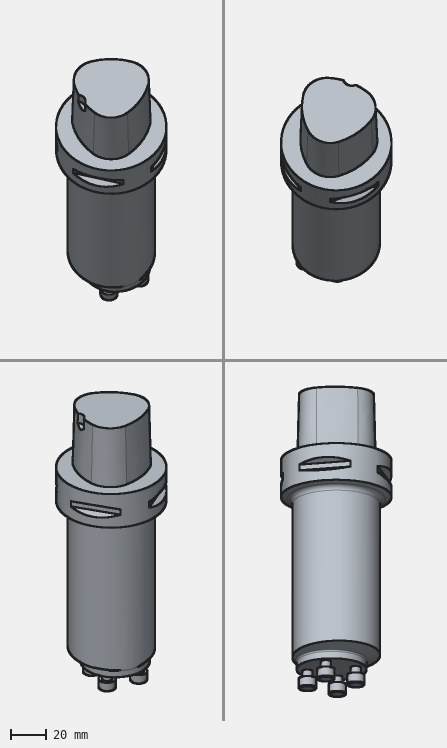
import cadquery as cq
import math

TOTAL_LENGTH = 172.53

SHANK_LENGTH = 38.0
LOBE_COUNT = 3
TAPER_PER_SIDE = 1 / 40
FLANK_DISTANCE = 20.4
LOBE_DISTANCE = 23.5
FLANK_RADIUS = 39.0

NOTCH_RADIUS = 5.0
NOTCH_STRAIGHT = 6.3
NOTCH_DEPTH = 1.95
NOTCH_TIP_ANGLE = 45.0

FLANGE_RADIUS = 63.0 / 2
FLANGE_HEIGHT = 22.0
FLANGE_CONE_HEIGHT = 1.1
NECK_FILLET = 3.0

GROOVE_COUNT = 4
GROOVE_FLOOR_DISTANCE = 27.75
GROOVE_FLOOR_WIDTH = 3.4
GROOVE_WALL_ANGLE = 30.0
GROOVE_Z = -12.0

BODY_RADIUS = 50.0 / 2
DISC_RADIUS = 40.0 / 2
DISC_HEIGHT = 4.9
NOSE_CONE_HEIGHT = 2.8
NOSE_FILLET = 1.0
SCREW_SPACING = 20.0
SCREW_SHANK_RADIUS = 6.0 / 2
SCREW_SHANK_LENGTH = 4.5
SCREW_HEAD_RADIUS = 10.0 / 2
SCREW_HEAD_HEIGHT = 6.0
SCREW_HEAD_CHAMFER = 0.6

BOTTOM_Z = SHANK_LENGTH - TOTAL_LENGTH
SCREW_HEAD_TOP_Z = BOTTOM_Z + SCREW_HEAD_HEIGHT
DISC_BOTTOM_Z = SCREW_HEAD_TOP_Z + SCREW_SHANK_LENGTH
DISC_TOP_Z = DISC_BOTTOM_Z + DISC_HEIGHT
DISC_X = BODY_RADIUS - DISC_RADIUS


def polar(radius, degrees):
    angle = math.radians(degrees)
    return (radius * math.cos(angle), radius * math.sin(angle))


def tangent_lobe_radius():
    """Radius of the lobe arcs that meet the flank arcs tangentially.

    The two arc centres and the shank axis form a triangle with 120 degrees at the axis,
    and tangency makes the side between the centres FLANK_RADIUS - lobe radius long.
    """
    flank_offset = FLANK_RADIUS - FLANK_DISTANCE
    numerator = FLANK_RADIUS**2 - flank_offset**2 - LOBE_DISTANCE**2 - flank_offset * LOBE_DISTANCE
    return numerator / (2 * FLANK_RADIUS - 2 * LOBE_DISTANCE - flank_offset)


def lobed_wire(inset, z):
    """Alternating flank arcs and tangent lobe arcs, offset inward by inset."""
    pitch = 360 / LOBE_COUNT
    first_flank_angle = -90

    flank_offset = FLANK_RADIUS - FLANK_DISTANCE
    lobe_offset = LOBE_DISTANCE - tangent_lobe_radius()
    lobe_center_x, lobe_center_y = polar(lobe_offset, first_flank_angle + pitch / 2)
    half_angle = math.atan2(lobe_center_x, flank_offset - lobe_center_y)
    joint_x = (FLANK_RADIUS - inset) * math.sin(half_angle)
    joint_y = flank_offset - (FLANK_RADIUS - inset) * math.cos(half_angle)
    joint_distance = math.hypot(joint_x, joint_y)
    joint_angle = math.degrees(math.atan2(joint_x, -joint_y))

    start = polar(joint_distance, first_flank_angle - joint_angle)
    outline = cq.Workplane("XY", origin=(0, 0, z)).moveTo(*start)
    for index in range(LOBE_COUNT):
        flank_angle = first_flank_angle + index * pitch
        flank_middle = polar(FLANK_DISTANCE - inset, flank_angle)
        flank_end = polar(joint_distance, flank_angle + joint_angle)
        lobe_tip = polar(LOBE_DISTANCE - inset, flank_angle + pitch / 2)
        lobe_end = polar(joint_distance, flank_angle + pitch - joint_angle)
        outline = outline.threePointArc(flank_middle, flank_end).threePointArc(lobe_tip, lobe_end)
    return outline.close().val()


def make_shank():
    base = lobed_wire(0, 0)
    end = lobed_wire(SHANK_LENGTH * TAPER_PER_SIDE, SHANK_LENGTH)
    shank = cq.Workplane(cq.Solid.makeLoft([base, end], True))
    return shank.cut(make_notch())


def make_notch():
    """Round-backed notch with a conical floor, open at the shank end."""
    end_flank = FLANK_DISTANCE - SHANK_LENGTH * TAPER_PER_SIDE
    axis_y = -(end_flank - NOTCH_DEPTH + NOTCH_RADIUS)
    tip_height = NOTCH_RADIUS * math.tan(math.radians(NOTCH_TIP_ANGLE))
    shoulder_z = SHANK_LENGTH - NOTCH_STRAIGHT
    return (
        cq.Workplane("XZ", origin=(0, axis_y, 0))
        .moveTo(0, SHANK_LENGTH)
        .lineTo(NOTCH_RADIUS, SHANK_LENGTH)
        .lineTo(NOTCH_RADIUS, shoulder_z)
        .lineTo(0, shoulder_z - tip_height)
        .close()
        .revolve(360, (0, 0, 0), (0, 1, 0))
    )


def make_flange_and_body():
    cone_bottom_z = -FLANGE_HEIGHT - FLANGE_CONE_HEIGHT
    fillet_bottom_z = cone_bottom_z - NECK_FILLET
    fillet_center_x = BODY_RADIUS + NECK_FILLET
    fillet_middle = NECK_FILLET * math.sqrt(0.5)
    turned = (
        cq.Workplane("XZ")
        .lineTo(FLANGE_RADIUS, 0)
        .lineTo(FLANGE_RADIUS, -FLANGE_HEIGHT)
        .lineTo(fillet_center_x, cone_bottom_z)
        .threePointArc(
            (fillet_center_x - fillet_middle, fillet_bottom_z + fillet_middle),
            (BODY_RADIUS, fillet_bottom_z),
        )
        .lineTo(BODY_RADIUS, DISC_BOTTOM_Z)
        .lineTo(0, DISC_BOTTOM_Z)
        .close()
        .revolve(360, (0, 0, 0), (0, 1, 0))
    )
    return turned.cut(make_nose_relief())


def make_nose_relief():
    """Ring of material removed around the nose disc, below a cone about the disc axis."""
    slope = math.atan2(NOSE_CONE_HEIGHT, 2 * DISC_X)
    outer_radius = 2 * BODY_RADIUS
    outer_z = DISC_TOP_Z + (outer_radius - DISC_RADIUS) * math.tan(slope)
    tangent_length = NOSE_FILLET * math.tan((math.pi / 2 - slope) / 2)
    center_x = DISC_RADIUS + NOSE_FILLET
    center_z = DISC_TOP_Z - tangent_length
    middle_angle = math.degrees(math.pi + (slope - math.pi / 2) / 2)
    middle_x, middle_z = polar(NOSE_FILLET, middle_angle)
    return (
        cq.Workplane("XZ", origin=(DISC_X, 0, 0))
        .moveTo(DISC_RADIUS, DISC_BOTTOM_Z)
        .lineTo(DISC_RADIUS, center_z)
        .threePointArc(
            (center_x + middle_x, center_z + middle_z),
            (DISC_RADIUS + tangent_length * math.cos(slope), DISC_TOP_Z + tangent_length * math.sin(slope)),
        )
        .lineTo(outer_radius, outer_z)
        .lineTo(outer_radius, DISC_BOTTOM_Z)
        .close()
        .revolve(360, (0, 0, 0), (0, 1, 0))
    )


def make_groove():
    """Straight flared groove across the +X side of the flange."""
    depth = FLANGE_RADIUS - GROOVE_FLOOR_DISTANCE
    floor_half = GROOVE_FLOOR_WIDTH / 2
    mouth_half = floor_half + depth * math.tan(math.radians(GROOVE_WALL_ANGLE))
    return (
        cq.Workplane("XZ")
        .moveTo(GROOVE_FLOOR_DISTANCE, GROOVE_Z - floor_half)
        .lineTo(FLANGE_RADIUS, GROOVE_Z - mouth_half)
        .lineTo(FLANGE_RADIUS, GROOVE_Z + mouth_half)
        .lineTo(GROOVE_FLOOR_DISTANCE, GROOVE_Z + floor_half)
        .close()
        .extrude(FLANGE_RADIUS, both=True)
    )


def make_screw(x, y):
    shank = (
        cq.Workplane("XY", origin=(x, y, SCREW_HEAD_TOP_Z))
        .circle(SCREW_SHANK_RADIUS)
        .extrude(SCREW_SHANK_LENGTH)
    )
    head = (
        cq.Workplane("XY", origin=(x, y, BOTTOM_Z))
        .circle(SCREW_HEAD_RADIUS)
        .extrude(SCREW_HEAD_HEIGHT)
        .faces("<Z")
        .chamfer(SCREW_HEAD_CHAMFER)
    )
    return shank.union(head)


result = make_flange_and_body()
for index in range(GROOVE_COUNT):
    groove_angle = (index + 0.5) * 360 / GROOVE_COUNT
    result = result.cut(make_groove().rotate((0, 0, 0), (0, 0, 1), groove_angle))
result = result.union(make_shank())
for side_x in (-1, 1):
    for side_y in (-1, 1):
        screw_x = DISC_X + side_x * SCREW_SPACING / 2
        screw_y = side_y * SCREW_SPACING / 2
        result = result.union(make_screw(screw_x, screw_y))